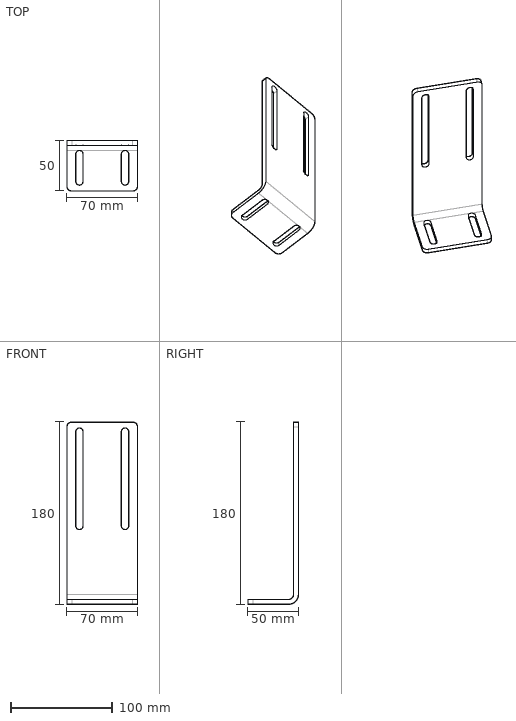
import cadquery as cq

width = 70.0
depth = 50.0
height = 180.0
thickness = 5.0

inner_bend_radius = 5.0
outer_bend_radius = inner_bend_radius + thickness
corner_radius = 5.0

slot_width = 7.0
slot_spacing = 45.0
slot_end_margin = 6.0
wall_slot_length = 100.0
base_slot_length = 34.0

front_y = -depth


def bent_plate():
    """L-shaped plate with a rounded bend, centred on X = 0."""
    profile = (
        cq.Workplane("YZ")
        .moveTo(front_y, 0)
        .lineTo(-outer_bend_radius, 0)
        .radiusArc((0, outer_bend_radius), -outer_bend_radius)
        .lineTo(0, height)
        .lineTo(-thickness, height)
        .lineTo(-thickness, outer_bend_radius)
        .radiusArc((-outer_bend_radius, thickness), inner_bend_radius)
        .lineTo(front_y, thickness)
        .close()
    )
    return profile.extrude(width / 2, both=True)


def round_free_corners(plate):
    """Round the two free corners of the wall and of the base."""
    plate = plate.faces(">Z").edges("|Y").fillet(corner_radius)
    return plate.faces("<Y").edges("|Z").fillet(corner_radius)


def slot_pair(plane, length, center):
    """Two parallel slots through one leg, centred at `center` along the leg."""
    positions = [(side * slot_spacing / 2, center) for side in (-1, 1)]
    return (
        cq.Workplane(plane)
        .pushPoints(positions)
        .slot2D(length, slot_width, angle=90)
        .extrude(thickness)
    )


wall_slots = slot_pair("XZ", wall_slot_length, height - slot_end_margin - wall_slot_length / 2)
base_slots = slot_pair("XY", base_slot_length, front_y + slot_end_margin + base_slot_length / 2)

result = round_free_corners(bent_plate()).cut(wall_slots).cut(base_slots)